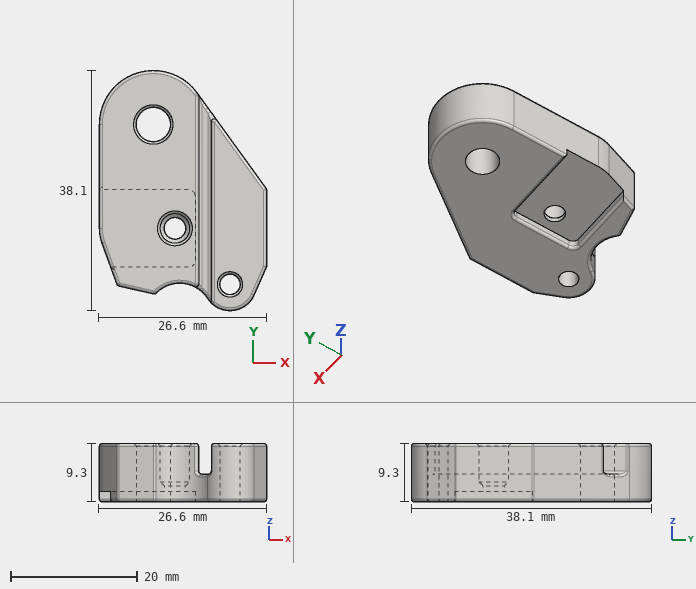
import cadquery as cq
import math

width = 26.55
length = 38.1
thickness = 9.3
edge_radius = 0.5

head_radius = 8.57
head_center = (head_radius, length - head_radius)

lobe_radius = 4.2
lobe_center = (20.72, lobe_radius)

bite_radius = 10.5 / 2
bite_center_x = 12.75

right_top = (width, 19.27)
right_bottom = (width, 7.0)

bend_start_y = 13.05
bend_radius = 6.85
bend_angle = math.radians(20)
slant_end_y = 3.95
cusp_x = 8.85

groove_left = 15.77
groove_width = 1.98
groove_floor = 4.4

hole_chamfer = 0.4
pivot_diameter = 5.4
lobe_hole_diameter = 3.2
screw_center = (12.0, bend_start_y)
screw_diameter = 3.4
screw_bore_diameter = 4.7
screw_bore_depth = 6.1

pocket_width = 12.25
pocket_height = 1.65
pocket_end_x = 15.25
pocket_corner_radius = 1.1


def on_circle(center, radius, angle):
    """Point on a circle at an angle in radians."""
    return (center[0] + radius * math.cos(angle), center[1] + radius * math.sin(angle))


def tangent_angle(center, radius, point, side):
    """Angle on the circle where the tangent from an outside point touches; side is +1 or -1."""
    dx = point[0] - center[0]
    dy = point[1] - center[1]
    return math.atan2(dy, dx) + side * math.acos(radius / math.hypot(dx, dy))


center_dx = lobe_center[0] - bite_center_x
center_dy = math.sqrt((lobe_radius + bite_radius) ** 2 - center_dx**2)
bite_center = (bite_center_x, lobe_center[1] - center_dy)
bite_start_angle = math.atan2(center_dy, center_dx)
bite_end_angle = math.acos((cusp_x - bite_center_x) / bite_radius)
cusp = on_circle(bite_center, bite_radius, bite_end_angle)

bend_center = (bend_radius, bend_start_y)
bend_end = on_circle(bend_center, bend_radius, math.pi + bend_angle)
slant_end = (bend_end[0] + (bend_end[1] - slant_end_y) * math.tan(bend_angle), slant_end_y)


def plate_outline():
    """Closed outline, clockwise from the top of the straight left side."""
    head_end_angle = tangent_angle(head_center, head_radius, right_top, 1)
    head_mid_angle = (math.pi + head_end_angle) / 2

    bite_mid_angle = (bite_start_angle + bite_end_angle) / 2

    lobe_start_angle = tangent_angle(lobe_center, lobe_radius, right_bottom, -1)
    lobe_end_angle = bite_start_angle - math.pi
    lobe_mid_angle = (lobe_start_angle + lobe_end_angle) / 2

    return (
        cq.Workplane("XY")
        .moveTo(0, head_center[1])
        .threePointArc(
            on_circle(head_center, head_radius, head_mid_angle),
            on_circle(head_center, head_radius, head_end_angle),
        )
        .lineTo(*right_top)
        .lineTo(*right_bottom)
        .lineTo(*on_circle(lobe_center, lobe_radius, lobe_start_angle))
        .threePointArc(
            on_circle(lobe_center, lobe_radius, lobe_mid_angle),
            on_circle(lobe_center, lobe_radius, lobe_end_angle),
        )
        .threePointArc(
            on_circle(bite_center, bite_radius, bite_mid_angle),
            cusp,
        )
        .lineTo(*slant_end)
        .lineTo(*bend_end)
        .threePointArc(
            on_circle(bend_center, bend_radius, math.pi + bend_angle / 2),
            (0, bend_start_y),
        )
        .close()
    )


def pocket_cutter():
    """Block entering from the left side, its two inner corners rounded."""
    return (
        cq.Workplane("XY")
        .box(pocket_end_x, pocket_width, pocket_height, centered=(False, True, False))
        .edges("|Z and >X")
        .fillet(pocket_corner_radius)
        .translate((0, screw_center[1], 0))
    )


def rounded_plate():
    """Plate with rounded upright corners, the pocket and a rounded rim around its bottom face."""
    plate = plate_outline().extrude(thickness)
    for x, y in (right_top, right_bottom, cusp, slant_end):
        upright = cq.selectors.NearestToPointSelector((x, y, thickness / 2))
        plate = plate.edges(upright).fillet(edge_radius)
    return plate.cut(pocket_cutter()).faces("<Z").edges().fillet(edge_radius)


def groove_end_edges(y_min, y_max):
    """Selector for the U-shaped groove edge on the outline between two Y values."""
    margin = 0.05
    return cq.selectors.BoxSelector(
        (groove_left - margin, y_min, groove_floor - margin),
        (groove_left + groove_width + margin, y_max, thickness - margin),
    )


def add_groove(plate):
    """Cut the groove, then round its floor, its two open ends and the rim of the top face."""
    cutter = (
        cq.Workplane("XY")
        .box(groove_width, length, thickness, centered=False)
        .edges("|Y and <Z")
        .fillet(edge_radius)
        .translate((groove_left, 0, groove_floor))
    )
    lower_end = groove_end_edges(0, length / 4)
    upper_end = groove_end_edges(length * 3 / 4, length)
    return (
        plate.cut(cutter)
        .edges(lower_end + upper_end)
        .fillet(edge_radius)
        .faces(">Z")
        .edges()
        .fillet(edge_radius)
    )


def revolved_cutter(profile, center):
    """Turn a (radius, height) profile around the vertical axis through a centre."""
    turned = cq.Workplane("XZ").polyline(profile).close().revolve(360, (0, 0, 0), (0, 1, 0))
    return turned.translate((center[0], center[1], 0))


def hole_cutter(center, diameter):
    """Through hole with a chamfered mouth at the top face."""
    radius = diameter / 2
    profile = [
        (0, 0),
        (radius, 0),
        (radius, thickness - hole_chamfer),
        (radius + hole_chamfer, thickness),
        (0, thickness),
    ]
    return revolved_cutter(profile, center)


def screw_hole_cutter():
    """Stepped through hole: chamfered mouth, bore, conical seat and narrow shank hole."""
    shank_radius = screw_diameter / 2
    bore_radius = screw_bore_diameter / 2
    bore_floor = thickness - screw_bore_depth
    profile = [
        (0, 0),
        (shank_radius, 0),
        (shank_radius, bore_floor - (bore_radius - shank_radius)),
        (bore_radius, bore_floor),
        (bore_radius, thickness - hole_chamfer),
        (bore_radius + hole_chamfer, thickness),
        (0, thickness),
    ]
    return revolved_cutter(profile, screw_center)


result = (
    add_groove(rounded_plate())
    .cut(hole_cutter(head_center, pivot_diameter))
    .cut(hole_cutter(lobe_center, lobe_hole_diameter))
    .cut(screw_hole_cutter())
)